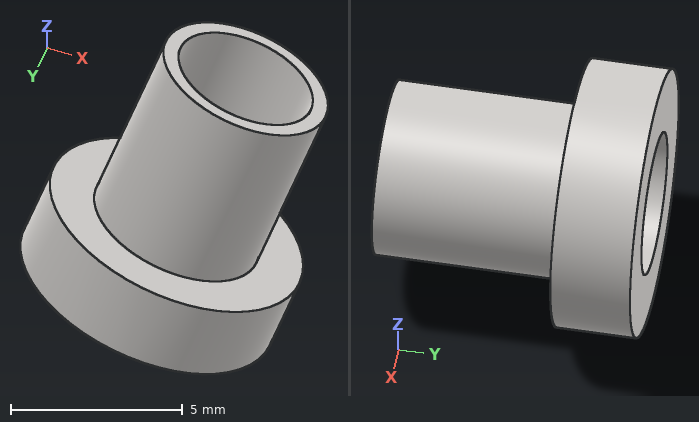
import cadquery as cq

flange_diameter = 7.92
flange_thickness = 2.36
tube_diameter = 5.15
bore_diameter = 4.2
overall_length = 7.89


def cylinder_along_y(diameter, length):
    """Cylinder centred on the Y axis, running from Y = 0 toward -Y."""
    return cq.Workplane("XZ").circle(diameter / 2).extrude(length)


flange = cylinder_along_y(flange_diameter, flange_thickness)
tube = cylinder_along_y(tube_diameter, overall_length)
bore = cylinder_along_y(bore_diameter, overall_length)

result = flange.union(tube).cut(bore)